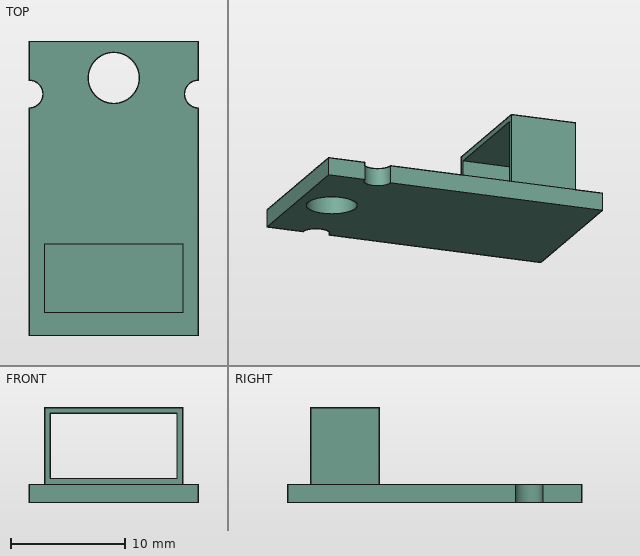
import cadquery as cq

plate_width = 14.8
plate_length = 25.7
plate_thickness = 1.6
total_height = 8.3

hole_diameter = 4.45
hole_from_back = 3.19
notch_radius = 1.2
notch_from_back = 4.6

tube_width = 12.08
tube_depth = 6.01
tube_height = total_height - plate_thickness
tube_from_front = 2.0
tube_wall = 0.51


def make_plate():
    plate = cq.Workplane("XY").box(
        plate_width, plate_length, plate_thickness, centered=(True, False, False)
    )
    hole = (
        cq.Workplane("XY")
        .center(0, plate_length - hole_from_back)
        .circle(hole_diameter / 2)
        .extrude(plate_thickness)
    )
    notches = (
        cq.Workplane("XY")
        .pushPoints([(side * plate_width / 2, plate_length - notch_from_back) for side in (-1, 1)])
        .circle(notch_radius)
        .extrude(plate_thickness)
    )
    return plate.cut(hole).cut(notches)


def make_tube():
    outer = cq.Workplane("XY").box(
        tube_width, tube_depth, tube_height, centered=(True, False, False)
    )
    opening = (
        cq.Workplane("XY")
        .box(
            tube_width - 2 * tube_wall,
            tube_depth,
            tube_height - 2 * tube_wall,
            centered=(True, False, False),
        )
        .translate((0, 0, tube_wall))
    )
    return outer.cut(opening).translate((0, tube_from_front, plate_thickness))


result = make_plate().union(make_tube())